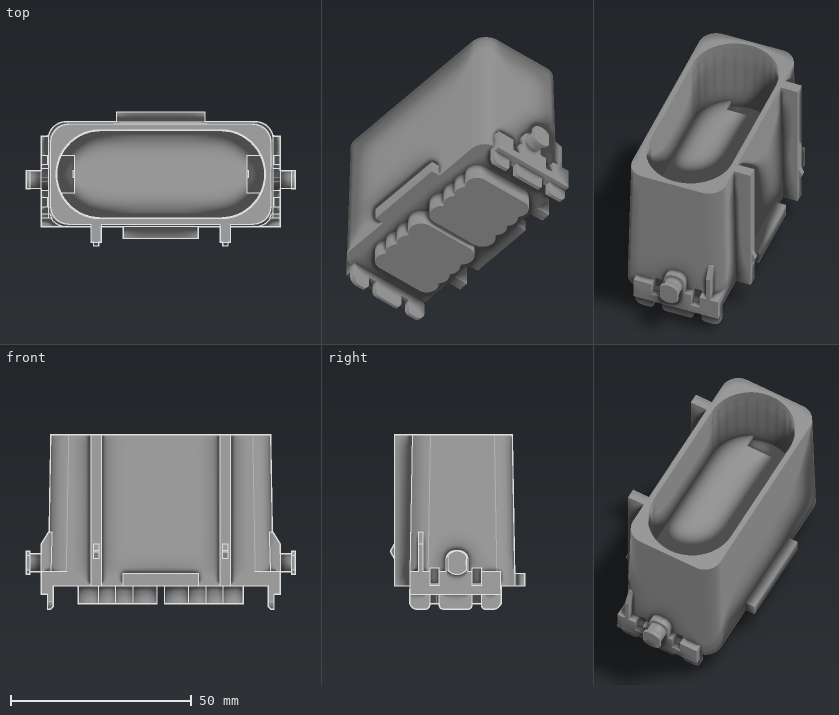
import cadquery as cq
import math

HOOD_HEIGHT = 41.95
BASE_LENGTH = 62.4
BASE_DEPTH = 29.15
HOOD_DRAFT = 1.0
HOOD_CORNER_RADIUS = 5.0
BASE_HALF_X = BASE_LENGTH / 2
BASE_HALF_Y = BASE_DEPTH / 2

CAVITY_HALF_X = 29.0
CAVITY_RADIUS = 12.3
CAVITY_FLOOR_Z = 20.1
CAVITY_DRAFT = 0.6
FLOOR_RECESS_X = 23.85
FLOOR_RECESS_WIDTH = 10.5
FLOOR_RECESS_DEPTH = 2.2
RECESS_RIB_WIDTH = 1.95
RECESS_RIB_THICKNESS = 0.45
RECESS_RIB_HEIGHT = 1.5

RAIL_X = 17.9
RAIL_WIDTH = 2.9
RAIL_FRONT_Y = -18.85
NOSE_WIDTH = 1.5
NOSE_HEIGHT = 1.05
NOSE_BOTTOM_Z = 7.6
NOSE_TOP_Z = 11.7
NOSE_FLAT = 0.4

FRONT_LEDGE_HALF_X = 10.4
FRONT_LEDGE_Y = -17.8
REAR_LEDGE_HALF_X = 12.3
REAR_LEDGE_Y = 17.3
LEDGE_HEIGHT = 3.6

PLATE_OUTER_X = 33.1
PLATE_INNER_X = 29.7
PLATE_BACK_Y = 10.6
PLATE_FRONT_Y = -BASE_HALF_Y
PLATE_TOP_Z = 4.1
PLATE_BOTTOM_Z = -2.2
LEG_OUTER_X = 31.4
LEG_BOTTOM_Z = -6.4
LEG_END_RADIUS = 2.15
LEG_GAP_RADIUS = 1.3
LEG_CHAMFER = 0.75

NOTCH_WIDTH = 2.5
NOTCH_CENTERS_Y = (3.95, -7.75)
NOTCH_FLOOR_Z = 0.2
WINDOW_BOTTOM_Z = 0.7
WINDOW_TOP_Z = 5.0
WINDOW_BACK_X = PLATE_INNER_X

PIN_Y = -1.5
PIN_Z = 6.5
PIN_DIAMETER = 5.0
PIN_END_X = 37.25
HEAD_DIAMETER = 6.5
HEAD_WIDTH = 5.15
HEAD_THICKNESS = 1.05
BOSS_WIDTH = 6.1
BOSS_CROWN_WIDTH = 1.05
BOSS_TOP_Z = 9.8

FIN_Y = -11.55
FIN_THICKNESS = 1.2
FIN_SHOULDER_Z = 11.7
FIN_TOP_Z = 15.05
FIN_TOP_X = 31.0
FIN_INNER_X = 26.8

CONTACT_BOTTOM_Z = -4.9
CONTACT_ROW_Y = 7.15
CONTACT_RADIUS = 3.3
CONTACT_PITCH = 4.7
OUTER_CONTACTS = 3
INNER_CONTACT_RADIUS = 3.65
GROUP_OUTER_X = 22.9
GROUP_INNER_X = 1.0


def block(x_range, y_range, z_range):
    """Box given by its lower and upper limit on each axis."""
    limits = (x_range, y_range, z_range)
    sizes = [high - low for low, high in limits]
    corner = tuple(low for low, high in limits)
    return cq.Workplane("XY").box(*sizes, centered=False).translate(corner)


def extrude_along_x(sketch, x_start, x_end):
    """Extrude a sketch made on the YZ plane from x_start to x_end."""
    return sketch.extrude(x_end - x_start).translate((x_start, 0, 0))


def draft_shift(height):
    """How far a hood wall leans inward at the given height."""
    return height * math.tan(math.radians(HOOD_DRAFT))


def make_hood():
    """Drafted box with its four leaning corner edges rounded."""
    return (
        cq.Workplane("XY")
        .rect(BASE_LENGTH, BASE_DEPTH)
        .extrude(HOOD_HEIGHT, taper=HOOD_DRAFT)
        .edges("not(#Z or |X or |Y)")
        .fillet(HOOD_CORNER_RADIUS)
    )


def make_cavity():
    slot = (
        cq.Workplane("XY")
        .workplane(offset=HOOD_HEIGHT)
        .slot2D(2 * CAVITY_HALF_X, 2 * CAVITY_RADIUS)
        .extrude(CAVITY_FLOOR_Z - HOOD_HEIGHT, taper=CAVITY_DRAFT)
    )
    floor_shrink = (HOOD_HEIGHT - CAVITY_FLOOR_Z) * math.tan(math.radians(CAVITY_DRAFT))
    recess_outline = (
        cq.Workplane("XY")
        .workplane(offset=CAVITY_FLOOR_Z - FLOOR_RECESS_DEPTH)
        .slot2D(2 * (CAVITY_HALF_X - floor_shrink), 2 * (CAVITY_RADIUS - floor_shrink))
        .extrude(FLOOR_RECESS_DEPTH)
    )
    recess_bar = cq.Workplane("XY").box(2 * CAVITY_HALF_X, FLOOR_RECESS_WIDTH, 2 * HOOD_HEIGHT)
    middle = cq.Workplane("XY").box(2 * FLOOR_RECESS_X, FLOOR_RECESS_WIDTH, 2 * HOOD_HEIGHT)
    rib_half_length = FLOOR_RECESS_X + RECESS_RIB_THICKNESS
    recess_bottom_z = CAVITY_FLOOR_Z - FLOOR_RECESS_DEPTH
    ribs = block(
        (-rib_half_length, rib_half_length),
        (-RECESS_RIB_WIDTH / 2, RECESS_RIB_WIDTH / 2),
        (recess_bottom_z, recess_bottom_z + RECESS_RIB_HEIGHT),
    )
    return slot.union(recess_outline.intersect(recess_bar).cut(middle).cut(ribs))


def make_rail():
    half_width = RAIL_WIDTH / 2
    rail = block(
        (RAIL_X - half_width, RAIL_X + half_width),
        (RAIL_FRONT_Y, -CAVITY_RADIUS),
        (0, HOOD_HEIGHT),
    )
    nose_middle_z = (NOSE_BOTTOM_Z + NOSE_TOP_Z) / 2
    nose_tip_y = RAIL_FRONT_Y - NOSE_HEIGHT
    nose_profile = cq.Workplane("YZ").polyline(
        [
            (RAIL_FRONT_Y, NOSE_BOTTOM_Z),
            (nose_tip_y, nose_middle_z - NOSE_FLAT / 2),
            (nose_tip_y, nose_middle_z + NOSE_FLAT / 2),
            (RAIL_FRONT_Y, NOSE_TOP_Z),
        ]
    ).close()
    nose = extrude_along_x(nose_profile, RAIL_X - NOSE_WIDTH / 2, RAIL_X + NOSE_WIDTH / 2)
    return rail.union(nose)


def make_ledges():
    front = block(
        (-FRONT_LEDGE_HALF_X, FRONT_LEDGE_HALF_X),
        (FRONT_LEDGE_Y, -CAVITY_RADIUS),
        (0, LEDGE_HEIGHT),
    )
    rear = block(
        (-REAR_LEDGE_HALF_X, REAR_LEDGE_HALF_X),
        (CAVITY_RADIUS, REAR_LEDGE_Y),
        (0, LEDGE_HEIGHT),
    )
    return front.union(rear)


def drafted_slab(x_range, y_range, z_range):
    """Like block, with front and rear faces drafted like the hood; y_range holds at z = 0."""
    front_y, back_y = y_range
    bottom_z, top_z = z_range
    profile = cq.Workplane("YZ").polyline(
        [
            (front_y + draft_shift(bottom_z), bottom_z),
            (front_y + draft_shift(top_z), top_z),
            (back_y - draft_shift(top_z), top_z),
            (back_y - draft_shift(bottom_z), bottom_z),
        ]
    ).close()
    return extrude_along_x(profile, *x_range)


def make_legs():
    leg_x_range = (PLATE_INNER_X, LEG_OUTER_X)
    legs = drafted_slab(leg_x_range, (PLATE_FRONT_Y, PLATE_BACK_Y), (LEG_BOTTOM_Z, 0))
    legs = legs.edges("|X and <Z").fillet(LEG_END_RADIUS)
    for gap_y in NOTCH_CENTERS_Y:
        gap_sides = (gap_y - NOTCH_WIDTH / 2, gap_y + NOTCH_WIDTH / 2)
        legs = legs.cut(block(leg_x_range, gap_sides, (LEG_BOTTOM_Z, PLATE_BOTTOM_Z)))
        for side_y in gap_sides:
            corner = cq.selectors.NearestToPointSelector((sum(leg_x_range) / 2, side_y, LEG_BOTTOM_Z))
            legs = legs.edges("|X").edges(corner).fillet(LEG_GAP_RADIUS)
    bevel = (
        cq.Workplane("XZ")
        .polyline(
            [
                (PLATE_INNER_X, LEG_BOTTOM_Z),
                (PLATE_INNER_X + LEG_CHAMFER, LEG_BOTTOM_Z),
                (PLATE_INNER_X, LEG_BOTTOM_Z + LEG_CHAMFER),
            ]
        )
        .close()
        .extrude(BASE_DEPTH, both=True)
    )
    return legs.cut(bevel)


def make_side_plate():
    plate = drafted_slab(
        (PLATE_INNER_X, PLATE_OUTER_X),
        (PLATE_FRONT_Y, PLATE_BACK_Y),
        (PLATE_BOTTOM_Z, PLATE_TOP_Z),
    )
    foot = drafted_slab(
        (BASE_HALF_X - 2 * HOOD_CORNER_RADIUS, PLATE_INNER_X),
        (PLATE_FRONT_Y, 0),
        (0, PLATE_TOP_Z),
    )
    return plate.union(foot).union(make_legs())


def make_notches():
    """Notches through the side plate, each with a window sunk into the hood wall behind it."""
    notches = cq.Workplane("XY")
    for notch_y in NOTCH_CENTERS_Y:
        y_range = (notch_y - NOTCH_WIDTH / 2, notch_y + NOTCH_WIDTH / 2)
        notch = block((LEG_OUTER_X, PLATE_OUTER_X), y_range, (NOTCH_FLOOR_Z, PLATE_TOP_Z))
        window = block((WINDOW_BACK_X, PLATE_OUTER_X), y_range, (WINDOW_BOTTOM_Z, WINDOW_TOP_Z))
        notches = notches.add(notch.union(window))
    return notches.combine()


def make_pin():
    crown_half = BOSS_CROWN_WIDTH / 2
    boss_half = BOSS_WIDTH / 2
    crown_radius = boss_half - crown_half
    shoulder_z = BOSS_TOP_Z - crown_radius
    boss_profile = (
        cq.Workplane("YZ")
        .moveTo(PIN_Y - boss_half, PLATE_TOP_Z)
        .lineTo(PIN_Y - boss_half, shoulder_z)
        .radiusArc((PIN_Y - crown_half, BOSS_TOP_Z), crown_radius)
        .lineTo(PIN_Y + crown_half, BOSS_TOP_Z)
        .radiusArc((PIN_Y + boss_half, shoulder_z), crown_radius)
        .lineTo(PIN_Y + boss_half, PLATE_TOP_Z)
        .close()
    )
    boss = extrude_along_x(boss_profile, PLATE_INNER_X, PLATE_OUTER_X)
    pin_profile = cq.Workplane("YZ").center(PIN_Y, PIN_Z).circle(PIN_DIAMETER / 2)
    pin = extrude_along_x(pin_profile, PLATE_INNER_X, PIN_END_X)
    head_start_x = PIN_END_X - HEAD_THICKNESS
    head_profile = cq.Workplane("YZ").center(PIN_Y, PIN_Z).circle(HEAD_DIAMETER / 2)
    flats = block(
        (head_start_x, PIN_END_X),
        (PIN_Y - HEAD_WIDTH / 2, PIN_Y + HEAD_WIDTH / 2),
        (PIN_Z - HEAD_DIAMETER, PIN_Z + HEAD_DIAMETER),
    )
    head = extrude_along_x(head_profile, head_start_x, PIN_END_X).intersect(flats)
    return boss.union(pin).union(head)


def make_fin():
    return (
        cq.Workplane("XZ")
        .polyline(
            [
                (FIN_INNER_X, PLATE_TOP_Z),
                (PLATE_OUTER_X, PLATE_TOP_Z),
                (PLATE_OUTER_X, FIN_SHOULDER_Z),
                (FIN_TOP_X, FIN_TOP_Z),
                (FIN_INNER_X, FIN_TOP_Z),
            ]
        )
        .close()
        .extrude(FIN_THICKNESS / 2, both=True)
        .translate((0, FIN_Y, 0))
    )


def make_contact_group():
    """Solid core with a row of overlapping round contacts along its front and rear sides."""
    group = block(
        (GROUP_INNER_X, GROUP_OUTER_X),
        (-CONTACT_ROW_Y, CONTACT_ROW_Y),
        (CONTACT_BOTTOM_Z, 0),
    )
    outer_contact_x = GROUP_OUTER_X - CONTACT_RADIUS
    contacts = [(outer_contact_x - i * CONTACT_PITCH, CONTACT_RADIUS) for i in range(OUTER_CONTACTS)]
    contacts.append((GROUP_INNER_X + INNER_CONTACT_RADIUS, INNER_CONTACT_RADIUS))
    for row_y in (-CONTACT_ROW_Y, CONTACT_ROW_Y):
        for x, radius in contacts:
            contact = cq.Workplane("XY").center(x, row_y).circle(radius).extrude(CONTACT_BOTTOM_Z)
            group = group.union(contact)
    return group


side_features = (
    make_side_plate()
    .union(make_pin())
    .union(make_fin())
    .union(make_rail())
    .union(make_contact_group())
)

result = (
    make_hood()
    .union(make_ledges())
    .union(side_features)
    .union(side_features.mirror("YZ"))
    .cut(make_cavity())
    .cut(make_notches())
    .cut(make_notches().mirror("YZ"))
)